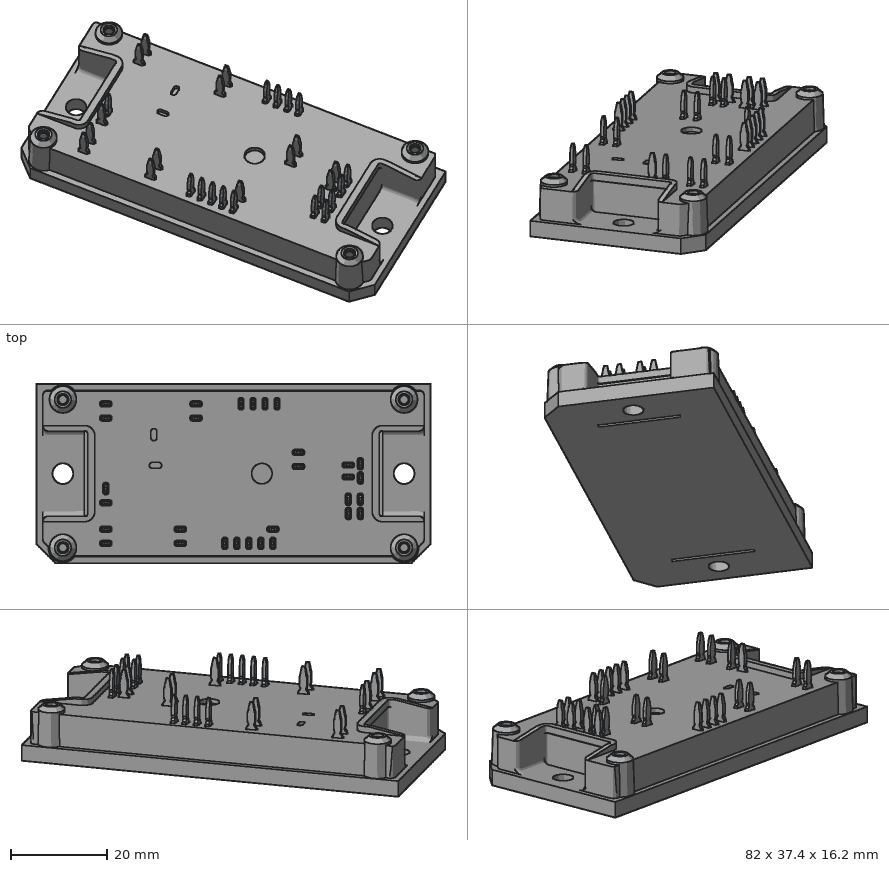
import cadquery as cq

length = 82.0
width = 37.4
base_thickness = 3.45
base_chamfer = 4.0
mount_hole_diameter = 4.3
mount_hole_x = 35.5

housing_length = 79.4
housing_bottom_width = 34.7
housing_top_width = 34.2
housing_top = 10.4
housing_chamfer = 3.3
housing_corner_radius = 1.15
center_recess_diameter = mount_hole_diameter
center_recess_x = 5.9
center_recess_depth = 1.0

boss_x = mount_hole_x
boss_y = 15.4
boss_bottom_radius = 3.0
boss_radius = 2.8
boss_top_radius = 1.7
boss_shoulder = 10.9
boss_top = 11.9
bore_diameter = 2.4
bore_depth = 0.65
pilot_diameter = 1.8
pilot_depth = 3.3

rim_top = 11.7
rim_inner_x = 28.9
rim_slope_x = 32.1
rim_slope_blend = 3.3
rim_half_width = 10.0
rim_corner_radius = 2.1
notch_wall_x = 30.4
notch_half_width = 8.85
notch_fillet = 1.15
lip_bottom = 10.1
gap_inner_x = 30.1
gap_outer_x = 31.0
inner_corner_radius = 0.5

pin_top = 16.2
pin_thickness = 0.7
pin_point_width = 0.4
pin_point_height = 1.0
slot_length = 2.55
slot_width = 1.2
slot_depth = 0.8
slot_floor = housing_top - slot_depth
pin_profile = [
    (1.0, slot_floor),
    (1.0, 10.8),
    (0.6, 11.4),
    (0.78, 12.0),
    (0.78, 14.0),
    (0.615, 14.6),
    (0.53, 15.2),
    (0.3, pin_top),
]

pair_pitch = 2.95
fine_row_span = 10.0
fine_pitch = fine_row_span / 4
edge_row_y = 14.5
lower_pair_y = pair_pitch - edge_row_y
left_column_x = -26.6
right_column_x = 26.4
second_column_x = right_column_x - fine_pitch
upper_pair_x = -7.8
lower_pair_x = -11.1
inner_pair_x = 13.5
inner_pair_y = 4.4
lone_pin_x = 8.2
upper_row_x = 1.55
lower_row_x = lone_pin_x - fine_row_span
left_pin_y = -3.1
cluster_top_y = 2.05
cross_pin_y = 1.8
cluster_low_y = -5.3


def pair(x, top_y):
    """Two places one above the other, one pair pitch apart."""
    return [(x, top_y), (x, top_y - pair_pitch)]


def row(first_x, y, count):
    """Places in a line along X at the fine pitch."""
    return [(first_x + i * fine_pitch, y) for i in range(count)]


pins_along_x = (
    pair(left_column_x, edge_row_y)
    + pair(upper_pair_x, edge_row_y)
    + pair(inner_pair_x, inner_pair_y)
    + pair(left_column_x, lower_pair_y)
    + pair(lower_pair_x, lower_pair_y)
    + [(left_column_x, left_pin_y - pair_pitch)]
    + [(lone_pin_x, lower_pair_y)]
    + [(second_column_x, cross_pin_y), (second_column_x, cross_pin_y - fine_pitch)]
)
pins_along_y = (
    row(upper_row_x, edge_row_y, 4)
    + row(lower_row_x, -edge_row_y, 5)
    + pair(right_column_x, cluster_top_y)
    + pair(right_column_x, cluster_low_y)
    + pair(second_column_x, cluster_low_y)
    + [(left_column_x, left_pin_y)]
)
empty_slot_along_x = (-16.2, 1.7)
empty_slot_along_y = (-16.6, 8.1)


def both_ends(left):
    """The given left-hand solid together with its mirror image at the right."""
    return left.union(left.mirror("YZ"))


def make_base():
    plate = cq.Workplane("XY").box(length, width, base_thickness, centered=(True, True, False))
    plate = plate.edges("|Z and <Y").chamfer(base_chamfer)
    return (
        plate.faces(">Z").workplane()
        .pushPoints([(-mount_hole_x, 0), (mount_hole_x, 0)])
        .hole(mount_hole_diameter)
    )


def make_housing():
    section = [
        (-housing_bottom_width / 2, base_thickness),
        (housing_bottom_width / 2, base_thickness),
        (housing_top_width / 2, housing_top),
        (-housing_top_width / 2, housing_top),
    ]
    block = cq.Workplane("YZ").polyline(section).close().extrude(housing_length / 2, both=True)
    outline = cq.Workplane("XY").rect(housing_length, housing_bottom_width).extrude(housing_top)
    outline = outline.edges("|Z and <Y").chamfer(housing_chamfer)
    outline = outline.edges("|Z").fillet(housing_corner_radius)
    return block.intersect(outline)


def make_rim():
    """Raised block around the left notch, sloping down to the housing end."""
    profile = [
        (-housing_length / 2, housing_top),
        (-rim_slope_x, rim_top),
        (-rim_inner_x, rim_top),
        (-rim_inner_x, base_thickness),
        (-housing_length / 2, base_thickness),
    ]
    block = cq.Workplane("XZ").polyline(profile).close().extrude(rim_half_width, both=True)
    block = block.edges("|Z and >X").fillet(rim_corner_radius)
    slope_start = cq.selectors.NearestToPointSelector((-rim_slope_x, 0, rim_top))
    return block.edges("|Y").edges(slope_start).fillet(rim_slope_blend)


def make_notch():
    """Space removed at the left end, up to the gap; its rounded lower edges leave floor fillets."""
    height = rim_top - base_thickness
    outer_x = -length / 2
    mouth_x = -housing_length / 2
    passage = (
        cq.Workplane("XY", origin=(0, 0, base_thickness))
        .moveTo(-gap_outer_x, -notch_half_width)
        .lineTo(-gap_outer_x, notch_half_width)
        .lineTo(mouth_x + notch_fillet, notch_half_width)
        .radiusArc((mouth_x, notch_half_width + notch_fillet), notch_fillet)
        .lineTo(mouth_x, width / 2)
        .lineTo(outer_x, width / 2)
        .lineTo(outer_x, -width / 2)
        .lineTo(mouth_x, -width / 2)
        .lineTo(mouth_x, -notch_half_width - notch_fillet)
        .radiusArc((mouth_x + notch_fillet, -notch_half_width), notch_fillet)
        .close()
        .extrude(height)
    )
    return passage.faces("<Z").edges("|X and (not >Y) and (not <Y)").fillet(notch_fillet)


def make_rounded_recess(inner_x, bottom, top):
    """Block across the left notch that reaches inner_x, with its inner corners rounded."""
    depth = gap_outer_x - inner_x
    block = cq.Workplane("XY", origin=(-gap_outer_x, 0, bottom)).box(
        depth, 2 * notch_half_width, top - bottom, centered=(False, True, False)
    )
    return block.edges("|Z and >X").fillet(inner_corner_radius)


def make_boss():
    """Drafted post with a conical head, centred on the Z axis."""
    return (
        cq.Workplane("XZ")
        .moveTo(0, base_thickness)
        .lineTo(boss_bottom_radius, base_thickness)
        .lineTo(boss_radius, boss_shoulder)
        .lineTo(boss_top_radius, boss_top)
        .lineTo(0, boss_top)
        .close()
        .revolve(360, (0, 0, 0), (0, 1, 0))
    )


def make_slot():
    return (
        cq.Workplane("XY", origin=(0, 0, slot_floor))
        .slot2D(slot_length, slot_width)
        .extrude(slot_depth)
    )


def make_pin():
    """Flat blade along X with a point that narrows across its thickness."""
    outline = pin_profile + [(-half_width, z) for half_width, z in reversed(pin_profile)]
    blade = cq.Workplane("XZ").polyline(outline).close().extrude(pin_thickness / 2, both=True)
    shoulder = pin_top - pin_point_height
    side = [
        (-pin_thickness / 2, slot_floor),
        (pin_thickness / 2, slot_floor),
        (pin_thickness / 2, shoulder),
        (pin_point_width / 2, pin_top),
        (-pin_point_width / 2, pin_top),
        (-pin_thickness / 2, shoulder),
    ]
    side_shape = cq.Workplane("YZ").polyline(side).close().extrude(slot_length / 2, both=True)
    return blade.intersect(side_shape)


def place(shape, points, angle=0):
    """Copies of a shape turned about Z and set at the given points."""
    turned = shape.rotate((0, 0, 0), (0, 0, 1), angle)
    copies = cq.Workplane("XY")
    for x, y in points:
        copies = copies.add(turned.translate((x, y, 0)))
    return copies.combine()


boss_points = [(sx * boss_x, sy * boss_y) for sx in (-1, 1) for sy in (-1, 1)]

housing = make_housing().union(both_ends(make_rim())).cut(both_ends(make_notch()))
housing = housing.union(place(make_boss(), boss_points))
body = make_base().union(housing)

lip_recess = make_rounded_recess(notch_wall_x, lip_bottom, rim_top)
gap = make_rounded_recess(gap_inner_x, 0, lip_bottom)
body = body.cut(both_ends(lip_recess)).cut(both_ends(gap))

bores = cq.Workplane("XY", origin=(0, 0, boss_top)).pushPoints(boss_points)
body = body.cut(bores.circle(bore_diameter / 2).extrude(-bore_depth))
body = body.cut(bores.circle(pilot_diameter / 2).extrude(-pilot_depth))

recess = cq.Workplane("XY", origin=(center_recess_x, 0, housing_top))
body = body.cut(recess.circle(center_recess_diameter / 2).extrude(-center_recess_depth))

slot = make_slot()
body = body.cut(place(slot, pins_along_x + [empty_slot_along_x]))
body = body.cut(place(slot, pins_along_y + [empty_slot_along_y], 90))
pin = make_pin()
body = body.union(place(pin, pins_along_x))
result = body.union(place(pin, pins_along_y, 90))